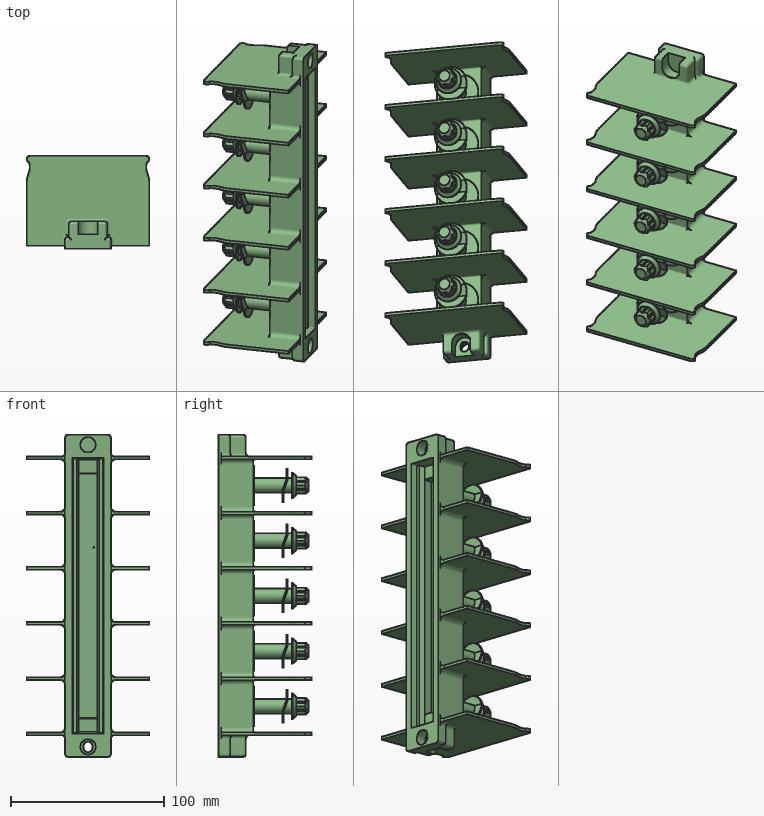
import cadquery as cq
import math

LENGTH = 210.2
WIDTH = 30.0
END_WIDTH = 25.0
SHOULDER_Y = 7.8
END_DEPTH = 18.0
CORE_DEPTH = 22.8
END_CORNER_RADIUS = 1.5
END_ROUND = 2.0

POLE_COUNT = 5
POLE_PITCH = 36.0
BARRIER_WIDTH = 80.0
BARRIER_THICKNESS = 2.0
BARRIER_FRONT = 2.0
BARRIER_BACK = 60.8
TIP_RADIUS = 2.2
GRIP_START = 43.5
GRIP_LOW = 49.8
GRIP_DEPTH = 2.0
GRIP_SHOULDER = 1.4
ROOT_RADIUS = 3.0
BACK_ROOT_RADIUS = 1.0
END_ROOT_RADIUS = 2.0

RECESS_WIDTH = 20.6
RECESS_LENGTH = 180.0
RECESS_CORNER_RADIUS = 0.8
RECESS_DEPTH = 4.6
RECESS_DRAFT = 9.0
CHANNEL_WIDTH = 14.6
CHANNEL_DEPTH = 8.0
CHANNEL_BOTTOM_WIDTH = 12.0
DEEP_LENGTH = 160.0
DEEP_DEPTH = 14.0
DEEP_BOTTOM_LENGTH = 159.2

MOUNT_Z = 98.5
MOUNT_BORE = 10.0
MOUNT_BORE_DEPTH = 7.5
MOUNT_SLOT_WIDTH = 5.6
MOUNT_SLOT_LENGTH = 6.8
NOTCH_WIDTH = 12.4
NOTCH_FLOOR_Y = 9.6

CONTACT_RADIUS = 13.0
CONTACT_BACK = 23.5
SHANK_RADIUS = 4.9
WASHER_RADIUS = 10.8
WASHER_THICKNESS = 1.0
WASHER_UPPER_Y = 44.1
WASHER_LOWER_Y = 41.6
WASHER_BEND = 3.5
FLANGE_FRONT = 47.8
FLANGE_RIM = 0.6
FLANGE_RADIUS = 8.4
HEAD_FRONT = 50.8
HEAD_BACK = 58.8
HEAD_FLATS = 10.8
HEAD_TIP_RADIUS = 3.7
FLAT_GROOVE_WIDTH = 1.2
FLAT_GROOVE_DEPTH = 0.3

MARGIN = 0.1

HEAD_CORNER_RADIUS = HEAD_FLATS / 2 / math.cos(math.pi / 6)
CORE_HALF = POLE_COUNT * POLE_PITCH / 2
OUTER_BARRIER_FACE = CORE_HALF + BARRIER_THICKNESS / 2
BARRIER_ZS = [(i - POLE_COUNT / 2) * POLE_PITCH for i in range(POLE_COUNT + 1)]
POLE_ZS = [(i - (POLE_COUNT - 1) / 2) * POLE_PITCH for i in range(POLE_COUNT)]


def facing_back(y, z=0.0):
    """Plane at depth y whose local axes are X, Z and whose normal is +Y (local y is -Z)."""
    return cq.Workplane(cq.Plane(origin=(0, y, z), xDir=(1, 0, 0), normal=(0, 1, 0)))


def cylinder(radius, y_start, y_end, z):
    return facing_back(y_start, z).circle(radius).extrude(y_end - y_start)


def barrier(z):
    half = BARRIER_WIDTH / 2
    hollow_edge = half - GRIP_SHOULDER
    tip_middle = BARRIER_BACK - TIP_RADIUS
    grip_high = tip_middle - math.sqrt(TIP_RADIUS**2 - (TIP_RADIUS - GRIP_SHOULDER) ** 2)
    return (
        cq.Workplane("XY")
        .workplane(offset=z - BARRIER_THICKNESS / 2)
        .moveTo(0, BARRIER_FRONT)
        .lineTo(half, BARRIER_FRONT)
        .lineTo(half, GRIP_START)
        .threePointArc((half - GRIP_SHOULDER / 4, (GRIP_START + GRIP_LOW) / 2), (hollow_edge, GRIP_LOW))
        .threePointArc((half - GRIP_DEPTH, (GRIP_LOW + grip_high) / 2), (hollow_edge, grip_high))
        .threePointArc((half, tip_middle), (half - TIP_RADIUS, BARRIER_BACK))
        .lineTo(0, BARRIER_BACK)
        .mirrorY()
        .extrude(BARRIER_THICKNESS)
    )


def stepped_bar():
    """Full-length bar with the section of the mounting ends, rounded around both end faces."""
    wide = cq.Workplane("XY").box(WIDTH, SHOULDER_Y, LENGTH, centered=(True, False, True))
    narrow = cq.Workplane("XY").box(END_WIDTH, END_DEPTH, LENGTH, centered=(True, False, True))
    wide = wide.edges("|Z and >Y").fillet(END_CORNER_RADIUS)
    narrow = narrow.edges("|Z and >Y").fillet(END_CORNER_RADIUS)
    return wide.union(narrow).faces("<Z or >Z").edges("not <Y").fillet(END_ROUND)


def end_flare(width, depth):
    """Upper barrier with a short block of the mounting end on it, flared into it at the root."""
    size = (width, depth - BARRIER_FRONT, 2 * END_ROOT_RADIUS)
    block = cq.Workplane("XY").box(*size, centered=(True, False, False))
    block = block.translate((0, BARRIER_FRONT, OUTER_BARRIER_FACE))
    block = block.edges("|Z and >Y").fillet(END_CORNER_RADIUS)
    flare = block.union(barrier(BARRIER_ZS[-1]))
    root = cq.selectors.BoxSelector(
        (-width / 2 - MARGIN, BARRIER_FRONT - MARGIN, OUTER_BARRIER_FACE - MARGIN),
        (width / 2 + MARGIN, depth + MARGIN, OUTER_BARRIER_FACE + MARGIN),
        boundingbox=True,
    )
    return flare.edges(root).edges("not <Y").fillet(END_ROOT_RADIUS)


def root_strip(radius):
    """Section of a fillet in the corner of the +X and +Y axes."""
    middle = radius * (1 - 0.5**0.5)
    return (
        cq.Workplane("XY")
        .lineTo(radius, 0)
        .threePointArc((middle, middle), (0, radius))
        .close()
    )


def barrier_roots():
    """Solids of the fillets above and below each barrier, along both core sides and the core back."""
    side = root_strip(ROOT_RADIUS).extrude(-(CORE_DEPTH - BARRIER_FRONT))
    side = side.rotate((0, 0, 0), (1, 0, 0), 90)
    side = side.translate((WIDTH / 2, BARRIER_FRONT, BARRIER_THICKNESS / 2))
    back = root_strip(BACK_ROOT_RADIUS).extrude(WIDTH)
    back = back.rotate((0, 0, 0), (0, 1, 0), -90)
    back = back.translate((WIDTH / 2, CORE_DEPTH, BARRIER_THICKNESS / 2))
    roots = []
    for strip in (side, side.mirror("YZ"), back):
        for z in BARRIER_ZS[:-1]:
            above = strip.translate((0, 0, z))
            roots += [above.val(), above.mirror("XY").val()]
    return roots


def recess():
    outline = cq.Sketch().rect(RECESS_WIDTH, RECESS_LENGTH).vertices().fillet(RECESS_CORNER_RADIUS)
    drafted = facing_back(0).placeSketch(outline).extrude(CHANNEL_DEPTH, taper=RECESS_DRAFT)
    step_and_channel = (
        cq.Workplane("XY")
        .workplane(offset=-RECESS_LENGTH / 2)
        .moveTo(0, 0)
        .lineTo(RECESS_WIDTH / 2, 0)
        .lineTo(RECESS_WIDTH / 2, RECESS_DEPTH)
        .lineTo(CHANNEL_WIDTH / 2, RECESS_DEPTH)
        .lineTo(CHANNEL_BOTTOM_WIDTH / 2, CHANNEL_DEPTH)
        .lineTo(0, CHANNEL_DEPTH)
        .mirrorY()
        .extrude(RECESS_LENGTH)
    )
    deep = (
        cq.Workplane("YZ")
        .workplane(offset=-CHANNEL_BOTTOM_WIDTH / 2)
        .moveTo(CHANNEL_DEPTH, -DEEP_LENGTH / 2)
        .lineTo(DEEP_DEPTH, -DEEP_BOTTOM_LENGTH / 2)
        .lineTo(DEEP_DEPTH, DEEP_BOTTOM_LENGTH / 2)
        .lineTo(CHANNEL_DEPTH, DEEP_LENGTH / 2)
        .close()
        .extrude(CHANNEL_BOTTOM_WIDTH)
    )
    return drafted.intersect(step_and_channel).union(deep)


def mounting_notch():
    """Round-bottomed notch in the back of the upper end, open to the end face."""
    depth = END_DEPTH - NOTCH_FLOOR_Y
    bottom = cylinder(NOTCH_WIDTH / 2, NOTCH_FLOOR_Y, END_DEPTH, MOUNT_Z)
    size = (NOTCH_WIDTH, depth, LENGTH / 2 - MOUNT_Z)
    opening = cq.Workplane("XY").box(*size, centered=(True, False, False))
    return bottom.union(opening.translate((0, NOTCH_FLOOR_Y, MOUNT_Z)))


def make_housing():
    core = cq.Workplane("XY").box(WIDTH, CORE_DEPTH, 2 * CORE_HALF, centered=(True, False, True))
    body = stepped_bar().union(core)
    for flare in (end_flare(WIDTH, SHOULDER_Y), end_flare(END_WIDTH, END_DEPTH)):
        body = body.union(flare).union(flare.mirror("XY"))
    for z in BARRIER_ZS[1:-1]:
        body = body.union(barrier(z))
    body = body.newObject([body.val().fuse(*barrier_roots())])
    body = body.cut(recess())
    notch = mounting_notch()
    body = body.cut(notch).cut(notch.mirror("XY"))
    for z in (-MOUNT_Z, MOUNT_Z):
        body = body.cut(cylinder(MOUNT_BORE / 2, 0, MOUNT_BORE_DEPTH, z))
    slot = facing_back(0, -MOUNT_Z).slot2D(MOUNT_SLOT_LENGTH, MOUNT_SLOT_WIDTH, 90).extrude(END_DEPTH)
    return body.cut(slot)


def stepped_washer():
    """Round washer whose upper half lies further back than its lower half."""
    strip = (
        cq.Workplane("YZ")
        .workplane(offset=-WASHER_RADIUS)
        .moveTo(WASHER_LOWER_Y, -WASHER_RADIUS)
        .lineTo(WASHER_LOWER_Y, -WASHER_BEND)
        .lineTo(WASHER_UPPER_Y, WASHER_BEND)
        .lineTo(WASHER_UPPER_Y, WASHER_RADIUS)
        .lineTo(WASHER_UPPER_Y + WASHER_THICKNESS, WASHER_RADIUS)
        .lineTo(WASHER_UPPER_Y + WASHER_THICKNESS, WASHER_BEND)
        .lineTo(WASHER_LOWER_Y + WASHER_THICKNESS, -WASHER_BEND)
        .lineTo(WASHER_LOWER_Y + WASHER_THICKNESS, -WASHER_RADIUS)
        .close()
        .extrude(2 * WASHER_RADIUS)
    )
    return strip.intersect(cylinder(WASHER_RADIUS, WASHER_LOWER_Y, WASHER_UPPER_Y + WASHER_THICKNESS, 0))


def screw_head():
    """Bevelled hexagon with a corner towards -X and a shallow groove along each flat."""
    height = HEAD_BACK - HEAD_FRONT
    head = facing_back(HEAD_FRONT).polygon(6, 2 * HEAD_CORNER_RADIUS).extrude(height)
    bevel = HEAD_CORNER_RADIUS - HEAD_TIP_RADIUS
    envelope = cylinder(HEAD_CORNER_RADIUS, HEAD_FRONT, HEAD_BACK, 0).faces(">Y").chamfer(bevel)
    head = head.intersect(envelope)
    size = (FLAT_GROOVE_WIDTH, height, 2 * FLAT_GROOVE_DEPTH)
    groove = cq.Workplane("XY").box(*size, centered=(True, False, True))
    groove = groove.translate((0, HEAD_FRONT, HEAD_FLATS / 2))
    for i in range(6):
        head = head.cut(groove.rotate((0, 0, 0), (0, 1, 0), 60 * i))
    return head


def terminal_screw(z):
    """Contact disc, shank, stepped washer and flanged hexagon head on one axis along Y."""
    screw = cylinder(CONTACT_RADIUS, CORE_DEPTH, CONTACT_BACK, 0)
    screw = screw.union(cylinder(SHANK_RADIUS, CORE_DEPTH, HEAD_FRONT, 0))
    screw = screw.union(stepped_washer())
    flange = (
        cq.Workplane("XY")
        .moveTo(0, FLANGE_FRONT)
        .lineTo(FLANGE_RADIUS, FLANGE_FRONT)
        .lineTo(FLANGE_RADIUS, FLANGE_FRONT + FLANGE_RIM)
        .lineTo(HEAD_CORNER_RADIUS, HEAD_FRONT)
        .lineTo(0, HEAD_FRONT)
        .close()
        .revolve(360, (0, 0, 0), (0, 1, 0))
    )
    return screw.union(flange).union(screw_head()).translate((0, 0, z))


housing = make_housing()
screws = [terminal_screw(z).val() for z in POLE_ZS]
result = cq.Compound.makeCompound([housing.val(), *screws])